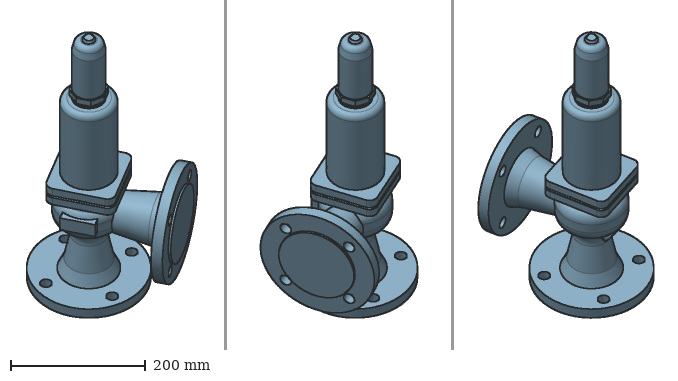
import cadquery as cq
import math


FLANGE_DIA = 185.0
FLANGE_THICK = 18.0
FACE_DIA = 122.0
FACE_HEIGHT = 4.0
BOLT_CIRCLE_DIA = 145.0
BOLT_HOLE_DIA = 18.0
BOLT_COUNT = 4
HUB_RADIUS = 47.0
HUB_BREAK_RADIUS = 37.5
HUB_BREAK_Z = 43.5

OVERALL_LENGTH = 237.5
OUTLET_REACH = OVERALL_LENGTH - FLANGE_DIA / 2
OUTLET_Z = 145.0
BRANCH_BREAK_X = 104.0
BRANCH_BREAK_RADIUS = 41.0
BRANCH_START_X = 29.0
BRANCH_START_RADIUS = 30.5

BELT_RADIUS = 55.5
BELT_BOTTOM_Z = 140.5
BELT_TOP_Z = 156.0
BOWL_ARC_RADIUS = 25.0
BOWL_SWEEP = math.radians(62)
THROAT_ARC_RADIUS = 27.0
INLET_TAPER = math.radians(10.3)
SHOULDER_ARC_RADIUS = 20.0
SHOULDER_SWEEP = math.radians(58)
NECK_FILLET = 4.0
NECK_TOP_Z = 180.5

PLATE_SIDE = 107.0
PLATE_CORNER_RADIUS = 13.0
LOWER_PLATE_Z = 183.0
LOWER_PLATE_THICK = 13.5
UPPER_PLATE_Z = 200.5
UPPER_PLATE_THICK = 14.5
COLLAR_RADIUS = 43.5
GASKET_RADIUS = 49.5
SPIGOT_RADIUS = 47.5
GASKET_THICK = 1.5

BONNET_RADIUS = 43.5
BONNET_TOP_Z = 361.5
BONNET_FILLET = 10.0
CAP_RADIUS = 25.5
RING_TOP_Z = 364.5
STEM_RADIUS = 24.0
NUT_BOTTOM_Z = 368.5
NUT_TOP_Z = 379.8
NUT_FLATS = 54.5
NUT_SIDES = 8
CAP_STRAIGHT_TOP_Z = 456.5
CAP_TAPER_TOP_Z = 468.5
CAP_TAPER_RADIUS = 22.5
CROWN_RADIUS = 12.5
CROWN_Z = 476.5
TIP_BASE_RADIUS = 10.0
TIP_TOP_RADIUS = 7.5
TOP_Z = 480.5

PAD_WIDTH = 54.5
PAD_BOTTOM_Z = 141.5
PAD_TOP_Z = 165.0
PAD_FACE_Y = -59.5
DRAIN_RADIUS = 19.5
DRAIN_SLOPE = 35
DRAIN_FACE_X = -40.0
DRAIN_FACE_Z = 110.0
DRAIN_LENGTH = 38.5


def arc_point(center, radius, angle):
    return (center[0] + radius * math.cos(angle), center[1] + radius * math.sin(angle))


def disc(radius, bottom_z, top_z):
    return cq.Workplane("XY", origin=(0, 0, bottom_z)).circle(radius).extrude(top_z - bottom_z)


def octagonal_nut():
    corner_dia = NUT_FLATS / math.cos(math.pi / NUT_SIDES)
    return (
        cq.Workplane("XY", origin=(0, 0, NUT_BOTTOM_Z))
        .transformed(rotate=(0, 0, 180 / NUT_SIDES))
        .polygon(NUT_SIDES, corner_dia)
        .extrude(NUT_TOP_Z - NUT_BOTTOM_Z)
    )


def square_plate(bottom_z, thickness):
    return (
        cq.Workplane("XY", origin=(0, 0, bottom_z))
        .rect(PLATE_SIDE, PLATE_SIDE)
        .extrude(thickness)
        .edges("|Z")
        .fillet(PLATE_CORNER_RADIUS)
    )


def pipe_flange():
    """Flange with its raised sealing face on Z = 0 and bolt holes on the diagonals."""
    plate = disc(FLANGE_DIA / 2, FACE_HEIGHT, FACE_HEIGHT + FLANGE_THICK)
    holes = (
        cq.Workplane("XY")
        .polarArray(BOLT_CIRCLE_DIA / 2, 180 / BOLT_COUNT, 360, BOLT_COUNT)
        .circle(BOLT_HOLE_DIA / 2)
        .extrude(FACE_HEIGHT + FLANGE_THICK)
    )
    return plate.cut(holes).union(disc(FACE_DIA / 2, 0, FACE_HEIGHT))


def valve_body():
    """Revolved body from the inlet hub up to the neck."""
    bowl_center = (BELT_RADIUS - BOWL_ARC_RADIUS, BELT_BOTTOM_Z)
    bowl_mid = arc_point(bowl_center, BOWL_ARC_RADIUS, -BOWL_SWEEP / 2)
    bowl_end = arc_point(bowl_center, BOWL_ARC_RADIUS, -BOWL_SWEEP)
    throat_center = arc_point(bowl_end, THROAT_ARC_RADIUS, -BOWL_SWEEP)
    throat_start_angle = math.pi - BOWL_SWEEP
    throat_end_angle = math.pi + INLET_TAPER
    throat_mid = arc_point(throat_center, THROAT_ARC_RADIUS, (throat_start_angle + throat_end_angle) / 2)
    throat_end = arc_point(throat_center, THROAT_ARC_RADIUS, throat_end_angle)
    shoulder_center = (BELT_RADIUS - SHOULDER_ARC_RADIUS, BELT_TOP_Z)
    shoulder_mid = arc_point(shoulder_center, SHOULDER_ARC_RADIUS, SHOULDER_SWEEP / 2)
    shoulder_end = arc_point(shoulder_center, SHOULDER_ARC_RADIUS, SHOULDER_SWEEP)
    fillet_center = arc_point(shoulder_end, NECK_FILLET, SHOULDER_SWEEP)
    fillet_mid = arc_point(fillet_center, NECK_FILLET, math.pi + SHOULDER_SWEEP / 2)
    fillet_end = arc_point(fillet_center, NECK_FILLET, math.pi)

    return (
        cq.Workplane("XZ")
        .moveTo(0, FACE_HEIGHT + FLANGE_THICK)
        .lineTo(HUB_RADIUS, FACE_HEIGHT + FLANGE_THICK)
        .lineTo(HUB_BREAK_RADIUS, HUB_BREAK_Z)
        .lineTo(*throat_end)
        .threePointArc(throat_mid, bowl_end)
        .threePointArc(bowl_mid, (BELT_RADIUS, BELT_BOTTOM_Z))
        .lineTo(BELT_RADIUS, BELT_TOP_Z)
        .threePointArc(shoulder_mid, shoulder_end)
        .threePointArc(fillet_mid, fillet_end)
        .lineTo(fillet_end[0], NECK_TOP_Z)
        .lineTo(0, NECK_TOP_Z)
        .close()
        .revolve(360, (0, 0), (0, 1))
    )


def outlet_branch():
    """Two-step cone along +X that ends in the outlet flange."""
    flange_back_x = OUTLET_REACH - FACE_HEIGHT - FLANGE_THICK
    cone = (
        cq.Workplane("XZ", origin=(0, 0, OUTLET_Z))
        .moveTo(BRANCH_START_X, 0)
        .lineTo(BRANCH_START_X, BRANCH_START_RADIUS)
        .lineTo(BRANCH_BREAK_X, BRANCH_BREAK_RADIUS)
        .lineTo(flange_back_x, HUB_RADIUS)
        .lineTo(flange_back_x, 0)
        .close()
        .revolve(360, (0, 0), (1, 0))
    )
    flange = pipe_flange().rotate((0, 0, 0), (0, 1, 0), -90).translate((OUTLET_REACH, 0, OUTLET_Z))
    return cone.union(flange)


def clamping_plates():
    lower_top_z = LOWER_PLATE_Z + LOWER_PLATE_THICK
    gasket_top_z = lower_top_z + GASKET_THICK
    return (
        disc(COLLAR_RADIUS, NECK_TOP_Z, LOWER_PLATE_Z)
        .union(square_plate(LOWER_PLATE_Z, LOWER_PLATE_THICK))
        .union(disc(GASKET_RADIUS, lower_top_z, gasket_top_z))
        .union(disc(SPIGOT_RADIUS, gasket_top_z, UPPER_PLATE_Z))
        .union(square_plate(UPPER_PLATE_Z, UPPER_PLATE_THICK))
    )


def bonnet():
    shell = disc(BONNET_RADIUS, UPPER_PLATE_Z + UPPER_PLATE_THICK, BONNET_TOP_Z)
    return shell.faces(">Z").edges().fillet(BONNET_FILLET)


def cap():
    """Nut, plain cap with a rounded crown, and the small conical tip."""
    crown = (
        cq.Workplane("XZ")
        .moveTo(0, NUT_TOP_Z)
        .lineTo(CAP_RADIUS, NUT_TOP_Z)
        .lineTo(CAP_RADIUS, CAP_STRAIGHT_TOP_Z)
        .lineTo(CAP_TAPER_RADIUS, CAP_TAPER_TOP_Z)
        .tangentArcPoint((CROWN_RADIUS, CROWN_Z), relative=False)
        .lineTo(TIP_BASE_RADIUS, CROWN_Z)
        .lineTo(TIP_TOP_RADIUS, TOP_Z)
        .lineTo(0, TOP_Z)
        .close()
        .revolve(360, (0, 0), (0, 1))
    )
    return (
        disc(CAP_RADIUS, BONNET_TOP_Z, RING_TOP_Z)
        .union(disc(STEM_RADIUS, RING_TOP_Z, NUT_BOTTOM_Z))
        .union(octagonal_nut())
        .union(crown)
    )


def name_pad():
    return (
        cq.Workplane("XY", origin=(0, 0, PAD_BOTTOM_Z))
        .rect(PAD_WIDTH, PAD_FACE_Y, centered=(True, False))
        .extrude(PAD_TOP_Z - PAD_BOTTOM_Z)
    )


def drain_boss():
    """Short round boss whose end face looks outward and downward."""
    slope = math.radians(DRAIN_SLOPE)
    face = cq.Plane(
        origin=(DRAIN_FACE_X, 0, DRAIN_FACE_Z),
        xDir=(0, 1, 0),
        normal=(math.cos(slope), 0, math.sin(slope)),
    )
    return cq.Workplane(face).circle(DRAIN_RADIUS).extrude(DRAIN_LENGTH)


result = (
    pipe_flange()
    .union(valve_body())
    .union(outlet_branch())
    .union(clamping_plates())
    .union(bonnet())
    .union(cap())
    .union(name_pad())
    .union(drain_boss())
)